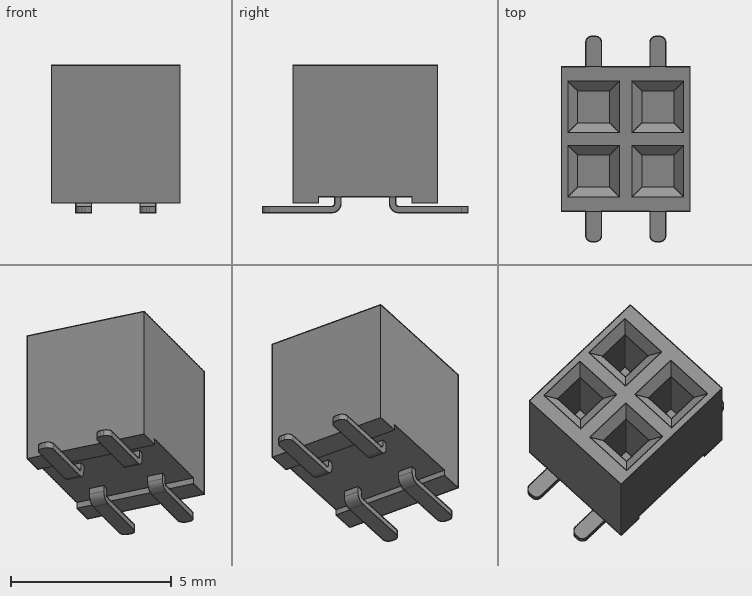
import cadquery as cq

body_width = 4.0
body_length = 4.5
body_height = 4.3
foot_length = 0.8
channel_depth = 0.2

pitch = 2.0
socket_side = 1.0
socket_depth = 3.0
flare = 0.3
mouth_side = socket_side + 2 * flare

overall_length = 6.4
pin_width = 0.5
pin_thickness = 0.2
pin_inner_gap = 1.5
bend_inner_radius = 0.1
bend_outer_radius = bend_inner_radius + pin_thickness
tip_radius = 0.2
pin_embed = 0.2

body_bottom = 0.3
body_top = body_bottom + body_height
channel_top = body_bottom + channel_depth
pin_top = channel_top + pin_embed

column_positions = (-pitch / 2, pitch / 2)


def make_housing():
    block = cq.Workplane("XY").workplane(offset=body_bottom).rect(body_width, body_length).extrude(body_height)
    channel_length = body_length - 2 * foot_length
    channel = (
        cq.Workplane("XY")
        .workplane(offset=body_bottom)
        .rect(body_width, channel_length)
        .extrude(channel_depth)
    )
    return block.cut(channel)


def make_socket(x, y):
    """Cavity of one socket: a square well under a flared mouth."""
    well = (
        cq.Workplane("XY", origin=(x, y, body_top - socket_depth))
        .rect(socket_side, socket_side)
        .extrude(socket_depth)
    )
    mouth = (
        cq.Workplane("XY", origin=(x, y, body_top))
        .rect(mouth_side, mouth_side)
        .workplane(offset=-flare)
        .rect(socket_side, socket_side)
        .loft(ruled=True)
    )
    return well.union(mouth)


def make_pin(x):
    """Pin that runs toward +Y, centred on the given X."""
    leg_inner = pin_inner_gap / 2
    leg_outer = leg_inner + pin_thickness
    tip = overall_length / 2
    strip = (
        cq.Workplane("YZ", origin=(x, 0, 0))
        .moveTo(leg_inner, pin_top)
        .lineTo(leg_inner, bend_outer_radius)
        .radiusArc((leg_inner + bend_outer_radius, 0), -bend_outer_radius)
        .lineTo(tip, 0)
        .lineTo(tip, pin_thickness)
        .lineTo(leg_outer + bend_inner_radius, pin_thickness)
        .radiusArc((leg_outer, bend_outer_radius), bend_inner_radius)
        .lineTo(leg_outer, pin_top)
        .close()
        .extrude(pin_width / 2, both=True)
    )
    return strip.faces(">Y").edges("|Z").fillet(tip_radius)


result = make_housing()
for column_x in column_positions:
    for row_y in (-pitch / 2, pitch / 2):
        result = result.cut(make_socket(column_x, row_y))
    pin = make_pin(column_x)
    result = result.union(pin).union(pin.mirror("XZ"))